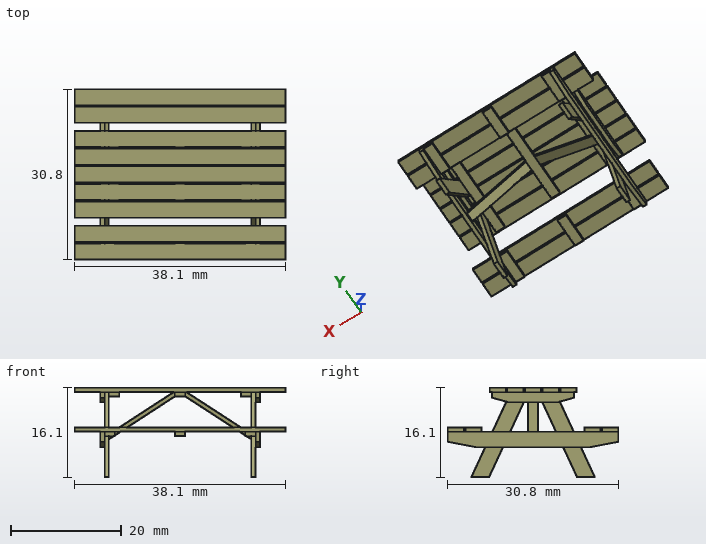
import cadquery as cq
import math

LENGTH = 38.1
OVERALL_WIDTH = 30.82
HEIGHT = 16.15
SEAT_HEIGHT = 9.0
BOARD = 0.8
PLANK_WIDTH = 2.95
PLANK_PITCH = 3.2
TABLE_PLANKS = 5
BENCH_PLANKS = 2
BATTEN_WIDTH = 1.85

FRAME_INSET = 4.6
UPPER_BEAM_LENGTH = 14.85
UPPER_BEAM_END = 1.03
UPPER_BEAM_TAPER = 3.0
LOWER_BEAM_HEIGHT = 2.82
LOWER_BEAM_END = 1.83
LOWER_BEAM_TAPER = 5.15
FOOT_OUTER = 11.15
FOOT_WIDTH = 3.25
LEG_ANGLE = 24.9

TABLE_CLEAT_LENGTH = UPPER_BEAM_LENGTH
BENCH_CLEAT_LENGTH = 5.85

BRACE_ANGLE = 33.0

TABLE_UNDERSIDE = HEIGHT - BOARD
SEAT_UNDERSIDE = SEAT_HEIGHT - BOARD
FRAME_OUTER = LENGTH / 2 - FRAME_INSET
LEG_OUTER = FRAME_OUTER - BOARD
LEG_INNER = LEG_OUTER - BOARD
BENCH_WIDTH = (BENCH_PLANKS - 1) * PLANK_PITCH + PLANK_WIDTH
BENCH_CENTRE = (OVERALL_WIDTH - BENCH_WIDTH) / 2


def slatted_panel(count, underside, centre_y, cleat_length, end_cleat_outer):
    """A row of parallel planks joined by a middle cleat and two end cleats."""
    panel = cq.Workplane("XY")
    for i in range(count):
        y = centre_y + (i - (count - 1) / 2) * PLANK_PITCH
        panel = panel.union(
            cq.Workplane("XY").box(LENGTH, PLANK_WIDTH, BOARD).translate((0, y, underside + BOARD / 2))
        )
    end_cleat_x = end_cleat_outer - BATTEN_WIDTH / 2
    for x in (-end_cleat_x, 0, end_cleat_x):
        panel = panel.union(
            cq.Workplane("XY").box(BATTEN_WIDTH, cleat_length, BOARD)
            .translate((x, centre_y, underside - BOARD / 2))
        )
    return panel


def upright_board(points, inner_x):
    """A board with the given YZ outline, reaching outward from inner_x."""
    return cq.Workplane("YZ", origin=(inner_x, 0, 0)).polyline(points).close().extrude(BOARD)


def tapered_beam(length, top, height, end_height, taper):
    """A cross beam whose underside rises toward both ends."""
    half = length / 2
    bottom = top - height
    end_bottom = top - end_height
    points = [
        (-half, top),
        (half, top),
        (half, end_bottom),
        (half - taper, bottom),
        (-half + taper, bottom),
        (-half, end_bottom),
    ]
    return upright_board(points, LEG_OUTER)


def leg(side):
    """A leaning leg from the ground to the tabletop; side is the sign of Y."""
    lean = TABLE_UNDERSIDE * math.tan(math.radians(LEG_ANGLE))
    foot_inner = FOOT_OUTER - FOOT_WIDTH
    points = [
        (side * FOOT_OUTER, 0),
        (side * (FOOT_OUTER - lean), TABLE_UNDERSIDE),
        (side * (foot_inner - lean), TABLE_UNDERSIDE),
        (side * foot_inner, 0),
    ]
    return upright_board(points, LEG_INNER)


def end_frame():
    """The frame at the +X end: two legs and two cross beams."""
    upper = tapered_beam(
        UPPER_BEAM_LENGTH, TABLE_UNDERSIDE, BATTEN_WIDTH, UPPER_BEAM_END, UPPER_BEAM_TAPER
    )
    lower = tapered_beam(
        OVERALL_WIDTH, SEAT_UNDERSIDE, LOWER_BEAM_HEIGHT, LOWER_BEAM_END, LOWER_BEAM_TAPER
    )
    return upper.union(lower).union(leg(1)).union(leg(-1))


def brace():
    """The diagonal at the +X end, from the lower beam to the middle table cleat."""
    slope = math.tan(math.radians(BRACE_ANGLE))
    rise = BOARD / math.cos(math.radians(BRACE_ANGLE))
    cleat_side = BATTEN_WIDTH / 2
    top_corner = TABLE_UNDERSIDE - BOARD
    foot = top_corner - (LEG_OUTER - cleat_side) * slope
    clipped_x = cleat_side + (top_corner + rise - TABLE_UNDERSIDE) / slope
    points = [
        (cleat_side, top_corner),
        (cleat_side, TABLE_UNDERSIDE),
        (clipped_x, TABLE_UNDERSIDE),
        (LEG_OUTER, foot + rise),
        (LEG_OUTER, foot),
    ]
    return cq.Workplane("XZ").polyline(points).close().extrude(BATTEN_WIDTH / 2, both=True)


tabletop = slatted_panel(TABLE_PLANKS, TABLE_UNDERSIDE, 0, TABLE_CLEAT_LENGTH, LEG_INNER)
benches = []
for side in (-1, 1):
    benches.append(
        slatted_panel(BENCH_PLANKS, SEAT_UNDERSIDE, side * BENCH_CENTRE, BENCH_CLEAT_LENGTH, LEG_OUTER).val()
    )

end_frames = []
braces = []
for turn in (0, 180):
    end_frames.append(end_frame().rotate((0, 0, 0), (0, 0, 1), turn).val())
    braces.append(brace().rotate((0, 0, 0), (0, 0, 1), turn).val())

result = cq.Compound.makeCompound([tabletop.val(), *benches, *end_frames, *braces])